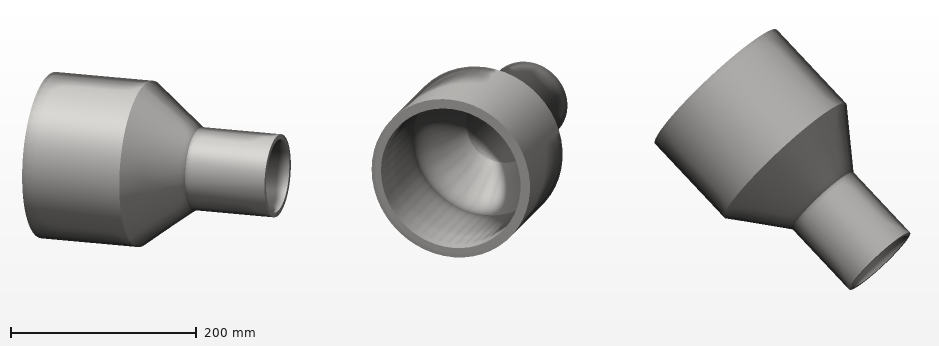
import cadquery as cq

total_length = 260.0
wide_length = 110.2
cone_length = 59.5
wide_outer_diameter = 180.0
wide_bore_diameter = 158.5
narrow_outer_diameter = 90.0
narrow_bore_diameter = 79.3

cone_end = wide_length + cone_length


def stepped_solid(wide_diameter, narrow_diameter):
    """Solid of revolution: wide cylinder, cone, then narrow cylinder."""
    wide_radius = wide_diameter / 2
    narrow_radius = narrow_diameter / 2
    half_profile = (
        cq.Workplane("XY")
        .moveTo(0, 0)
        .lineTo(0, wide_radius)
        .lineTo(wide_length, wide_radius)
        .lineTo(cone_end, narrow_radius)
        .lineTo(total_length, narrow_radius)
        .lineTo(total_length, 0)
        .close()
    )
    return half_profile.revolve(360, (0, 0, 0), (1, 0, 0))


body = stepped_solid(wide_outer_diameter, narrow_outer_diameter)
bore = stepped_solid(wide_bore_diameter, narrow_bore_diameter)
result = body.cut(bore)